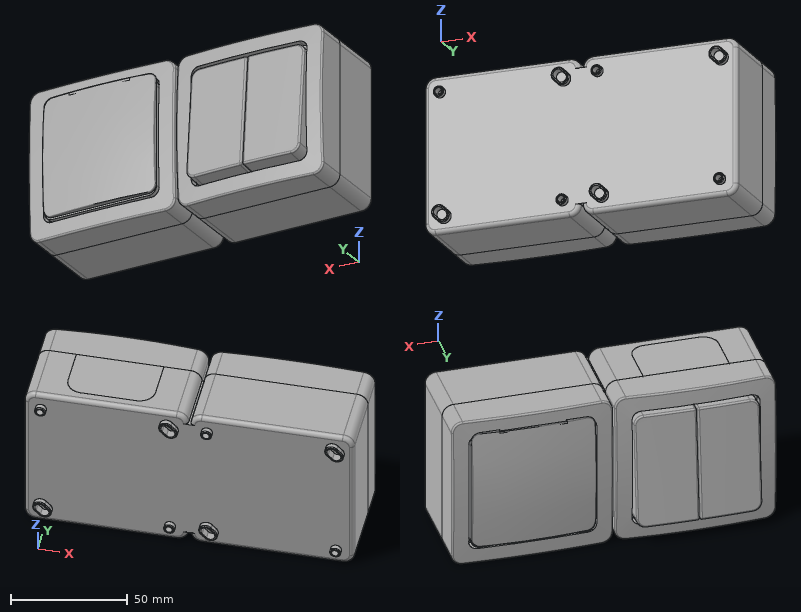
import cadquery as cq


box_size = 72.0
box_gap = 1.0
corner_radius = 5.0
back_edge_radius = 2.0
parting_y = 29.0
switch_x = box_size / 2
socket_x = switch_x + box_size + box_gap
bridge_height = box_size - 2 * corner_radius
bridge_width = box_gap + 2 * corner_radius

foot_height = 2.5
foot_hole_depth = 4.0
foot_edge = 0.4
oval_foot_radius = 3.15
oval_foot_hole_radius = 2.15
oval_foot_stretch = 2.7
oval_foot_angle = -45.0
oval_foot_offset = 27.7
round_foot_radius = 2.4
round_foot_hole_radius = 1.5
round_foot_offset = 28.4
round_foot_shift = -0.2

entry_width = 38.5
entry_bottom_y = 5.0
entry_corner_radius = 7.0
entry_thickness = 2.0

spare_height = 1.0

cover_edge_radius = 0.8
switch_dome_radius = 370.0
switch_dome_top = 46.7
socket_dome_radius = 550.0
socket_dome_top = 46.2
opening_size = 57.2
opening_corner_radius = 4.0
opening_floor_y = 40.0

key_pair_width = 56.0
key_length = 54.0
key_gap = 0.4
key_tilt = 5.0
key_crown_radius = 520.0
key_corner_radius = 4.2
key_inner_corner_radius = 0.8
key_edge_radius = 0.8
key_crown_y = 48.9

insert_width = 55.4
insert_length = 55.4
insert_corner_radius = 3.9
lid_bottom_y = 45.5
lid_crown_y = 49.1
lid_dome_radius = 250.0
lid_upper_z = 30.4
lid_lower_z = -26.8
lid_edge_radius = 0.3
grip_width = 30.0
grip_depth = 1.2
grip_height = 1.0


def plate(x, z, width, height, y_back, y_front, radius):
    """Rounded rectangular block standing in the XZ plane, from y_back to y_front."""
    block = cq.Workplane("XZ", origin=(x, y_back, z)).rect(width, height).extrude(y_back - y_front)
    return block.edges("|Y").fillet(radius)


def dome(x, top_y, radius):
    """Ball whose foremost point is at top_y on the line Z = 0."""
    return cq.Workplane("XY").sphere(radius).translate((x, top_y - radius, 0))


def post(x, z, radius, y_back, y_front):
    return cq.Workplane("XZ", origin=(x, y_back, z)).circle(radius).extrude(y_back - y_front)


def oval_post(x, z, radius, y_back, y_front):
    sketch = cq.Workplane("XZ", origin=(x, y_back, z)).transformed(rotate=(0, 0, oval_foot_angle))
    return sketch.slot2D(2 * radius + oval_foot_stretch, 2 * radius).extrude(y_back - y_front)


def make_entry_plate():
    blank = cq.Workplane("XY").box(
        entry_width, parting_y - entry_bottom_y, entry_thickness, centered=(True, False, False)
    )
    blank = blank.edges("|Z and <Y").fillet(entry_corner_radius)
    return blank.translate((switch_x, entry_bottom_y, box_size / 2 - entry_thickness))


def make_base(entry_plate):
    """Two back boxes joined by a bridge, with feet, screw holes and a seat for the entry plate."""

    def back_box(x):
        block = plate(x, 0, box_size, box_size, 0, parting_y, corner_radius)
        return block.faces("<Y").edges().fillet(back_edge_radius)

    bridge = cq.Workplane("XY").box(bridge_width, parting_y, bridge_height)
    bridge = bridge.translate((box_size + box_gap / 2, parting_y / 2, 0))
    base = back_box(switch_x).union(back_box(socket_x)).union(bridge)

    for box_x in (switch_x, socket_x):
        for side in (-1, 1):
            oval_at = (box_x + side * oval_foot_offset, side * oval_foot_offset)
            round_at = (
                box_x + side * round_foot_offset + round_foot_shift,
                -side * round_foot_offset + round_foot_shift,
            )
            oval_foot = oval_post(*oval_at, oval_foot_radius, -foot_height, back_edge_radius)
            round_foot = post(*round_at, round_foot_radius, -foot_height, back_edge_radius)
            for foot in (oval_foot, round_foot):
                base = base.union(foot.faces("<Y").edges().chamfer(foot_edge))
            hole_end = foot_hole_depth - foot_height
            base = base.cut(oval_post(*oval_at, oval_foot_hole_radius, -foot_height, hole_end))
            base = base.cut(post(*round_at, round_foot_hole_radius, -foot_height, hole_end))
    return base.cut(entry_plate)


def make_cover(x, dome_top, dome_radius):
    """Front part of one box: domed face, rounded rim and a square opening."""
    cover = plate(x, 0, box_size, box_size, parting_y, dome_top + spare_height, corner_radius)
    cover = cover.intersect(dome(x, dome_top, dome_radius))
    cover = cover.faces(">Y").edges().fillet(cover_edge_radius)
    opening = plate(x, 0, opening_size, opening_size, opening_floor_y, dome_top, opening_corner_radius)
    return cover.cut(opening)


def make_key(side):
    """One half of the rocker pair (side -1 left, +1 right), tilted so its lower end stands out."""
    width = (key_pair_width - key_gap) / 2
    height = 2 * (key_crown_y - opening_floor_y)
    key = cq.Workplane("XY").box(width, height, key_length)
    key = key.translate((side * (key_gap + width) / 2, 0, 0))
    outer, inner = (">X", "<X") if side > 0 else ("<X", ">X")
    key = key.edges("|Y").edges(outer).fillet(key_corner_radius)
    key = key.edges("|Y").edges(inner).fillet(key_inner_corner_radius)
    crown = cq.Workplane("XY").circle(key_crown_radius).extrude(key_length, both=True)
    key = key.intersect(crown.translate((0, -key_crown_radius, 0)))
    key = key.faces(">Y").edges().fillet(key_edge_radius)
    key = key.rotate((0, 0, 0), (1, 0, 0), key_tilt).translate((switch_x, key_crown_y, 0))
    below_floor = cq.Workplane("XY").box(2 * box_size, opening_floor_y, 2 * box_size)
    return key.cut(below_floor.translate((switch_x, opening_floor_y / 2, 0)))


def make_socket_insert():
    return plate(
        socket_x, 0, insert_width, insert_length, opening_floor_y, lid_bottom_y, insert_corner_radius
    )


def make_lid():
    """Domed lid resting on the insert, with a grip notch under its upper edge."""
    length = lid_upper_z - lid_lower_z
    middle_z = (lid_upper_z + lid_lower_z) / 2
    blank_front_y = lid_crown_y + spare_height
    lid = plate(
        socket_x, middle_z, insert_width, length, lid_bottom_y, blank_front_y, insert_corner_radius
    )
    lid = lid.intersect(dome(socket_x, lid_crown_y, lid_dome_radius))
    lid = lid.faces(">Y").edges().fillet(lid_edge_radius)
    grip = cq.Workplane("XY").box(grip_width, 2 * grip_height, 2 * grip_depth)
    return lid.cut(grip.translate((socket_x, lid_bottom_y, lid_upper_z)))


entry_plate = make_entry_plate()
base = make_base(entry_plate)
switch_cover = make_cover(switch_x, switch_dome_top, switch_dome_radius)
socket_cover = make_cover(socket_x, socket_dome_top, socket_dome_radius)
keys = [make_key(side) for side in (-1, 1)]
socket_insert = make_socket_insert()
lid = make_lid()

result = cq.Compound.makeCompound([
    base.val(),
    entry_plate.val(),
    switch_cover.val(),
    socket_cover.val(),
    *[key.val() for key in keys],
    socket_insert.val(),
    lid.val(),
])